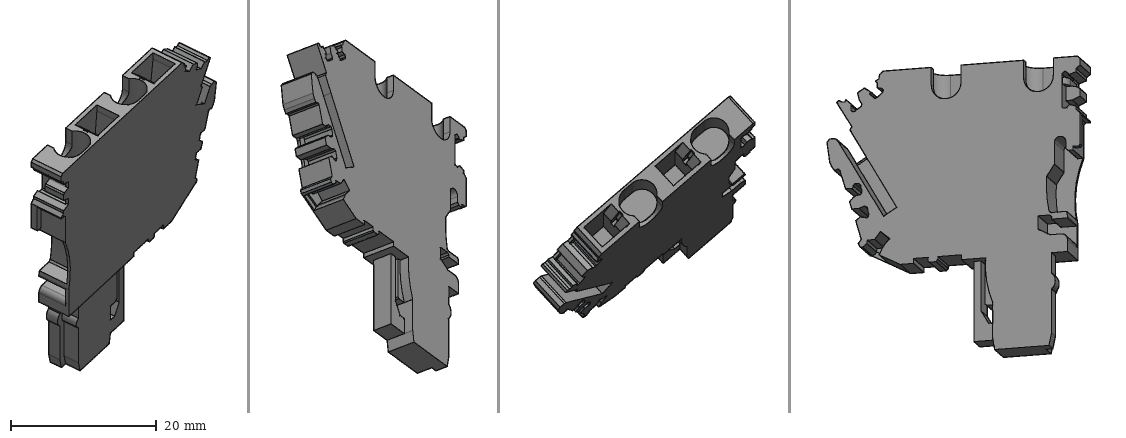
import cadquery as cq
import math

thickness = 5.1
height = 40.75
shoulder_z = 13.12
cut_margin = 0.4
wall = 0.45
web_x = thickness - wall
plug_thickness = 4.35
plug_split_x = 1.9
latch_x = 1.43
plug_setback = 0.98
slot_angle = math.radians(30.3)
slot_floor = [(28.08, 20.15), (26.2, 21.27)]
slot_depth = 10.65
tongue_length = 13.15


def along_slot(start, distance):
    """Point reached from start by moving up the slot direction."""
    return (start[0] + distance * math.sin(slot_angle), start[1] + distance * math.cos(slot_angle))


slot_mouth = [along_slot(corner, slot_depth) for corner in slot_floor]
hook_mouth = [(31.05, 15.95), (28.73, 14.7)]


def prism(points, x_start, x_end):
    """Closed (Y, Z) polygon extruded from x_start to x_end."""
    profile = cq.Workplane("YZ", origin=(x_start, 0, 0)).polyline(points).close()
    return profile.extrude(x_end - x_start)


def side_recess(points, x_end=web_x):
    """Recess cut from the -X face, stopping at x_end."""
    return prism(points, -cut_margin, x_end)


def housing():
    """Full-thickness plate with the outer profile."""
    outline = (
        cq.Workplane("YZ")
        .moveTo(0.35, height)
        .lineTo(0, 40.4).lineTo(0, 39.45).lineTo(0.57, 39.0).lineTo(0.57, 38.55)
        .lineTo(1.67, 38.2).lineTo(1.67, 34.03).lineTo(0.57, 33.65).lineTo(0.57, 33.2)
        .lineTo(0, 32.72).lineTo(0, 28.2).lineTo(0.2, 28.0)
        .lineTo(0.98, 28.0).lineTo(0.98, 27.45)
        .threePointArc((2.1, 22.5), (1.8, 18.15))
        .lineTo(1.8, shoulder_z)
        .lineTo(16.95, shoulder_z).lineTo(16.95, 13.8).lineTo(20.35, 13.8).lineTo(20.35, 13.45)
        .lineTo(20.58, shoulder_z).lineTo(21.55, shoulder_z).lineTo(21.7, 13.3).lineTo(21.7, 13.8)
        .lineTo(23.8, 13.8).lineTo(23.8, shoulder_z).lineTo(25.7, shoulder_z)
        .lineTo(*hook_mouth[1]).lineTo(*hook_mouth[0])
        .lineTo(31.5, 16.1).lineTo(31.7, 16.55).lineTo(31.3, 17.1)
        .lineTo(32.05, 19.8).lineTo(31.3, 20.4).lineTo(31.4, 21.15).lineTo(31.6, 21.5)
        .lineTo(32.65, 21.5).lineTo(32.95, 22.58).lineTo(32.25, 23.3).lineTo(32.4, 24.12)
        .lineTo(32.65, 24.45).lineTo(33.55, 24.45).lineTo(34.35, 27.2).lineTo(34.6, 27.35)
        .lineTo(35.13, 27.2).lineTo(35.45, 27.63).lineTo(35.78, 28.32).lineTo(36.2, 31.2)
        .lineTo(35.8, 31.7).lineTo(35.05, 31.7).lineTo(*along_slot(slot_floor[0], tongue_length))
        .lineTo(*slot_mouth[0]).lineTo(*slot_mouth[1])
        .lineTo(32.9, 32.72).lineTo(32.65, 33.2)
        .lineTo(34.8, 36.8).lineTo(34.47, 37.1).lineTo(34.05, 36.85).lineTo(33.65, 36.8)
        .lineTo(33.45, 37.1).lineTo(32.65, 36.35).lineTo(31.6, 36.9).lineTo(31.83, 37.95)
        .lineTo(30.8, 38.55).lineTo(29.85, 37.9).lineTo(29.0, 38.45).lineTo(29.0, 39.15)
        .lineTo(29.25, 39.4).lineTo(28.75, 39.7).lineTo(28.7, 40.2).lineTo(28.15, height)
        .close()
    )
    return outline.extrude(thickness)


plug_front_y = 4.08
plug_rear_y = 12.5
plug_taper_z = 1.75
bump_z = 9.13
bump_depth = 0.55
front_bump_half_height = 1.15
rear_bump_half_height = 0.9
plug_top_z = shoulder_z + cut_margin


def plug_plate(front_y, bump_half_height, x_start, x_end):
    """Tapered plate with a rounded latching bump on its front edge."""
    return (
        cq.Workplane("YZ", origin=(x_start, 0, 0))
        .moveTo(front_y + 0.35, 0)
        .lineTo(front_y, plug_taper_z)
        .lineTo(front_y, bump_z - bump_half_height)
        .threePointArc((front_y - bump_depth, bump_z), (front_y, bump_z + bump_half_height))
        .lineTo(front_y, plug_top_z)
        .lineTo(13.5, plug_top_z)
        .lineTo(13.5, shoulder_z)
        .threePointArc((13.25, 9.25), (plug_rear_y, 6.75))
        .lineTo(plug_rear_y, plug_taper_z)
        .lineTo(12.22, 0)
        .close()
        .extrude(x_end - x_start)
    )


def plug():
    """Two stepped plates with a spring latch and its backing on the +Y side."""
    front_plate = plug_plate(plug_front_y, front_bump_half_height, 0, plug_split_x)
    rear_plate = plug_plate(
        plug_front_y + plug_setback, rear_bump_half_height, plug_split_x, plug_thickness
    )
    inside_y = plug_rear_y - cut_margin
    latch = prism(
        [(15.6, plug_top_z), (15.6, plug_taper_z), (inside_y, plug_taper_z), (inside_y, 4.2),
         (13.5, 4.2), (14.55, 6.0), (14.55, plug_top_z)],
        latch_x, plug_thickness,
    )
    backing = prism(
        [(13.98, plug_top_z), (13.98, 6.95), (13.77, 6.75), (inside_y, 6.75), (inside_y, plug_top_z)],
        latch_x, plug_thickness,
    )
    return front_plate.union(rear_plate).union(latch).union(backing)


hole_x = 2.65
hole_radius = 2.08
hole_length = 5.62
hole_floor_z = 35.85
window_floor_z = 36.15
window_radius = 2.1
window_reach_x = 1.22
entry_x = (0.7, 4.45)
key_x = (2.2, 2.9)
entry_floor_z = 32.6
lead_in_z = 39.6
key_lip_z = 39.95
key_step_z = 39.1
key_floor_z = 38.3
key_overhang = 0.15
key_step = 0.55


def round_hole(center_y):
    """Obround hole, opened towards -X by a round-bottomed window."""
    hole = (
        cq.Workplane("XY", origin=(hole_x, center_y, hole_floor_z))
        .slot2D(hole_length, 2 * hole_radius, 90)
        .extrude(height - hole_floor_z + cut_margin)
    )
    arc_z = window_floor_z + window_radius
    window = (
        cq.Workplane("YZ", origin=(-cut_margin, 0, 0))
        .moveTo(center_y - window_radius, height + cut_margin)
        .lineTo(center_y - window_radius, arc_z)
        .threePointArc((center_y, window_floor_z), (center_y + window_radius, arc_z))
        .lineTo(center_y + window_radius, height + cut_margin)
        .close()
        .extrude(window_reach_x + cut_margin)
    )
    return hole.union(window)


def wire_entry(front_y, ramp_end_y, rear_floor_y, rear_y):
    """Rectangular funnel with a 45 degree front ramp and a small key slot."""
    funnel = prism(
        [(front_y, height + cut_margin), (front_y, height), (ramp_end_y, height - (ramp_end_y - front_y)),
         (ramp_end_y, entry_floor_z), (rear_floor_y, entry_floor_z), (rear_y, lead_in_z),
         (rear_y, height + cut_margin)],
        *entry_x,
    )
    lip_y = front_y - key_overhang
    step_y = front_y + key_step
    key = prism(
        [(lip_y, height + cut_margin), (lip_y, key_lip_z), (step_y, key_step_z), (step_y, key_floor_z),
         (ramp_end_y, key_floor_z), (ramp_end_y, height + cut_margin)],
        *key_x,
    )
    return funnel.union(key)


def slanted_slot():
    """Label slot between the tongue and the housing; its web is bevelled to a sharp edge at the mouth."""
    outer_end, inner_end = slot_mouth
    slot = side_recess([outer_end, inner_end, slot_floor[1], slot_floor[0]])
    mouth_edge = cq.Vector(0, outer_end[0] - inner_end[0], outer_end[1] - inner_end[1])
    bevel_plane = cq.Plane(origin=(web_x, *inner_end), xDir=(1, 0, 0), normal=mouth_edge)
    bevel = cq.Workplane(bevel_plane).polyline([(0, 0), (wall, 0), (0, wall)]).close()
    return slot.union(bevel.extrude(mouth_edge.Length))


def hook_recess():
    """Hook-shaped recess that opens through the slanted lower rear edge, with a thinner web at its mouth."""
    rear_ledge, front_ledge = (30.5, 16.45), (28.32, 15.5)
    hook = side_recess(
        [hook_mouth[0], rear_ledge, (30.4, 16.9), (29.35, 16.95), (28.52, 18.0), (27.22, 16.9), (28.25, 15.73),
         front_ledge, hook_mouth[1]]
    )
    ledge = side_recess([hook_mouth[0], rear_ledge, front_ledge, hook_mouth[1]], thickness - wall / 2)
    return hook.union(ledge)


def marker_grooves():
    """Undercuts of the two grooves on the slanted upper rear edge."""
    upper = side_recess(
        [(29.75, 38.5), (29.0, 38.45), (28.35, 38.3), (28.15, 38.0), (28.15, 37.78), (29.1, 37.0), (29.3, 36.95),
         (30.1, 37.65), (29.85, 37.9)]
    )
    lower = side_recess(
        [(32.3, 36.88), (31.6, 36.9), (31.2, 36.3), (31.3, 36.0), (32.25, 35.35), (32.5, 35.35), (32.75, 35.55),
         (32.75, 36.2), (32.65, 36.35)]
    )
    return upper.union(lower)


def tongue_notches():
    """Undercuts of the two notches in the tongue."""
    upper = side_recess(
        [(32.6, 23.85), (32.45, 24.8), (32.15, 25.05), (31.6, 25.02), (31.38, 24.75), (31.17, 23.88), (31.25, 23.6),
         (31.5, 23.45), (32.25, 23.3)]
    )
    lower = side_recess(
        [(31.8, 21.0), (31.6, 21.5), (30.8, 21.8), (30.5, 21.65), (30.2, 20.6), (30.3, 20.17), (30.52, 20.1),
         (31.25, 20.3)]
    )
    return upper.union(lower)


groove_floor_y = 2.6
groove_lip_y = 1.67
tab_top_z = 37.1
tab_bottom_z = 35.1


def front_groove():
    """Groove behind the marker opening, up to the web."""
    return side_recess(
        [(1.22, 34.25), (groove_lip_y, 33.82), (1.9, 33.55), (2.45, 33.55), (groove_floor_y, 33.7),
         (groove_floor_y, 38.4), (2.15, 38.75), (groove_lip_y, 38.4), (groove_lip_y, 38.2), (1.22, 38.0)]
    )


def front_tab():
    """Tab that splits the groove, and the block with a rounded end on top of it."""
    root_y = groove_floor_y + cut_margin
    tab = prism(
        [(root_y, tab_top_z), (groove_lip_y, tab_top_z), (0.77, 36.85), (0.57, 36.6), (0.57, 35.57),
         (groove_lip_y, tab_bottom_z), (root_y, tab_bottom_z)],
        plug_split_x, thickness,
    )
    block_face_y = 1.9
    block_height = 0.98
    block = (
        cq.Workplane("XY", origin=(0, 0, tab_top_z))
        .moveTo(0.4, root_y)
        .lineTo(0.4, groove_floor_y)
        .threePointArc((0.9, 2.15), (plug_split_x, block_face_y))
        .lineTo(web_x, block_face_y)
        .lineTo(web_x, root_y)
        .close()
        .extrude(block_height)
    )
    return tab.union(block)


nose_flange = 0.98
nose_setback = 0.98


def nose_relief():
    """Step in the front nose that leaves only a thin flange at the -X side."""
    return prism(
        [(-cut_margin, 27.7), (nose_setback, 27.7), (nose_setback, 32.27), (0.7, 32.55), (-cut_margin, 32.55)],
        nose_flange, thickness + cut_margin,
    )


handle_recess_x = 4.52


def handle_recesses():
    """Finger hollow with its upper slot, and the smaller recess under it with a rounded lip."""
    upper = (
        cq.Workplane("YZ", origin=(-cut_margin, 0, 0))
        .moveTo(0, 27.45).lineTo(1.7, 27.45).lineTo(2.05, 27.8).lineTo(2.05, 28.73)
        .threePointArc((2.85, 29.55), (3.65, 28.73))
        .lineTo(3.65, 25.67).lineTo(4.75, 24.0).threePointArc((4.75, 21.5), (4.45, 19.07))
        .lineTo(4.15, 18.83).lineTo(0, 18.83)
        .close()
        .extrude(web_x + cut_margin)
    )
    lower = (
        cq.Workplane("YZ", origin=(-cut_margin, 0, 0))
        .moveTo(0, 17.9).lineTo(4.08, 17.9).lineTo(4.08, 18.2).lineTo(4.35, 18.5).lineTo(6.0, 18.5)
        .lineTo(6.0, 16.63).lineTo(4.28, 15.7).lineTo(2.53, 15.7)
        .threePointArc((2.05, 15.4), (1.8, 14.85))
        .lineTo(0, 14.85)
        .close()
        .extrude(handle_recess_x + cut_margin)
    )
    return upper.union(lower)


result = housing().union(plug())
for hole_center_y in (19.15, 5.95):
    result = result.cut(round_hole(hole_center_y))
for entry_ys in ((22.45, 23.88, 26.55, 27.45), (9.35, 10.7, 13.7, 14.4)):
    result = result.cut(wire_entry(*entry_ys))
side_features = (slanted_slot, hook_recess, marker_grooves, tongue_notches, front_groove, nose_relief,
                 handle_recesses)
for feature in side_features:
    result = result.cut(feature())
result = result.union(front_tab())